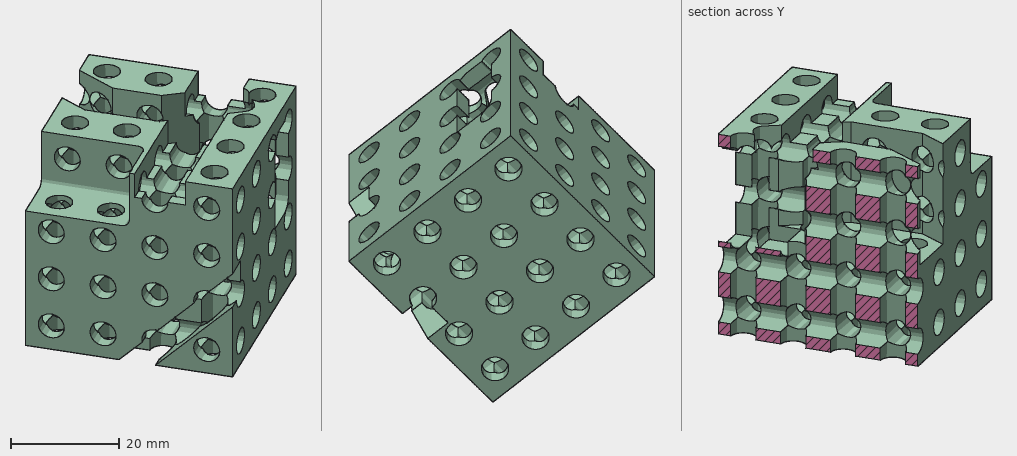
import cadquery as cq
import math

SIZE = 40.0
HOLES_PER_SIDE = 4
PITCH = SIZE / HOLES_PER_SIDE
HOLE_DIAMETER = PITCH / 2

NOTCH_X = 20.1
NOTCH_Y = 10.1
NOTCH_DEPTH = 11.4
NOTCH_FILLET = 1.5

CHANNEL_CENTER_X = 26.0
CHANNEL_WIDTH = 9.8
CHANNEL_DEPTH = 4.95

DIAGONAL_UPPER_X = 18.1
DIAGONAL_LOWER_X = 25.1
DIAGONAL_DEPTH = HOLE_DIAMETER

BENT_WIDTH = 9.3
BENT_ANGLE = math.radians(30)
BEND_Y = 24.7
FIRST_BEND_X = 6.6
SECOND_BEND_X = 18.5
BENT_END_LENGTH = 17.25
BENT_DEPTH = 20.1
BENT_END_FILLET = 2.4

POCKET_X = 26.8
POCKET_FRONT = 26.8
POCKET_BACK = 35.25
POCKET_BOTTOM = 16.9
POCKET_TOP = 36.4
POCKET_FILLET = 2.9


def box(x_min, x_max, y_min, y_max, z_min, z_max):
    """Box between two opposite corners."""
    blank = cq.Workplane("XY").box(x_max - x_min, y_max - y_min, z_max - z_min, centered=False)
    return blank.translate((x_min, y_min, z_min))


def hole_grid(plane, length):
    """Cylinders of the hole grid, normal to the given plane."""
    steps = [PITCH * (i + 0.5) for i in range(HOLES_PER_SIDE)]
    centers = [(u, v) for u in steps for v in steps]
    return cq.Workplane(plane).pushPoints(centers).circle(HOLE_DIAMETER / 2).extrude(length)


def corner_notch():
    """Corner block whose three inner edges are rounded; it runs past the outer faces."""
    block = box(-SIZE, NOTCH_X, -SIZE, NOTCH_Y, SIZE - NOTCH_DEPTH, 2 * SIZE)
    inner_edges = "(>X and >Y) or (>X and <Z) or (>Y and <Z)"
    return block.edges(inner_edges).fillet(NOTCH_FILLET)


def top_channel():
    half_width = CHANNEL_WIDTH / 2
    left = CHANNEL_CENTER_X - half_width
    right = CHANNEL_CENTER_X + half_width
    return box(left, right, 0, SIZE, SIZE - CHANNEL_DEPTH, SIZE)


def diagonal_slot():
    outline = [
        (DIAGONAL_UPPER_X, 0),
        (DIAGONAL_LOWER_X, 0),
        (SIZE, SIZE - DIAGONAL_LOWER_X),
        (SIZE, SIZE - DIAGONAL_UPPER_X),
    ]
    return cq.Workplane("XZ").polyline(outline).close().extrude(-DIAGONAL_DEPTH)


def bent_slot():
    """Sloping down from the left face, level, then rising to a square end with rounded corners."""
    half = BENT_WIDTH / 2
    miter = half * math.tan(BENT_ANGLE / 2)
    start_x = -BENT_WIDTH
    start_y = BEND_Y + (FIRST_BEND_X - start_x) * math.tan(BENT_ANGLE)
    start_half = half / math.cos(BENT_ANGLE)
    end_x = SECOND_BEND_X + BENT_END_LENGTH * math.cos(BENT_ANGLE)
    end_y = BEND_Y + BENT_END_LENGTH * math.sin(BENT_ANGLE)
    side_x = half * math.sin(BENT_ANGLE)
    side_y = half * math.cos(BENT_ANGLE)
    outline = [
        (start_x, start_y - start_half),
        (FIRST_BEND_X - miter, BEND_Y - half),
        (SECOND_BEND_X + miter, BEND_Y - half),
        (end_x + side_x, end_y - side_y),
        (end_x - side_x, end_y + side_y),
        (SECOND_BEND_X - miter, BEND_Y + half),
        (FIRST_BEND_X + miter, BEND_Y + half),
        (start_x, start_y + start_half),
    ]
    floor = cq.Workplane("XY").workplane(offset=SIZE - BENT_DEPTH)
    slot = floor.polyline(outline).close().extrude(BENT_DEPTH)
    end_corners = cq.selectors.BoxSelector(
        (end_x - half, end_y - half, 0), (end_x + half, end_y + half, SIZE)
    )
    return slot.edges("|Z").edges(end_corners).fillet(BENT_END_FILLET)


def side_pocket():
    """Pocket rounded along its top and back edges; its lower front edge is sharp."""
    pocket = box(POCKET_X, SIZE, POCKET_FRONT, POCKET_BACK, POCKET_BOTTOM, POCKET_TOP)
    return pocket.edges("|X and (>Y or >Z)").fillet(POCKET_FILLET)


result = box(0, SIZE, 0, SIZE, 0, SIZE)
for plane, length in (("XY", SIZE), ("XZ", -SIZE), ("YZ", SIZE)):
    result = result.cut(hole_grid(plane, length))
for cutter in (corner_notch(), top_channel(), diagonal_slot(), bent_slot(), side_pocket()):
    result = result.cut(cutter)